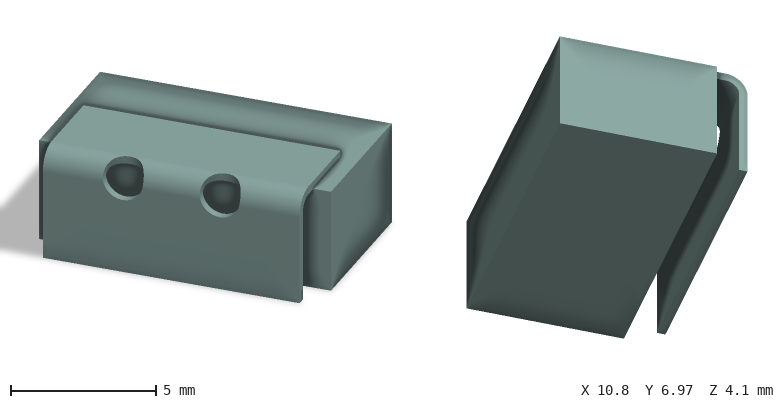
import cadquery as cq
import math

block_width = 10.8
block_depth = 5.67
block_height = 3.8

total_depth = 6.97
bracket_width = 9.5
sheet = 0.3
inner_bend_radius = 0.5
bracket_back = 3.18
outer_bend_radius = inner_bend_radius + sheet
neutral_bend_radius = inner_bend_radius + sheet / 2
bracket_top = block_height + sheet

bend_y = -total_depth + outer_bend_radius
bend_z = bracket_top - outer_bend_radius

hole_radius = 1.49 / 2
hole_spacing = 3.59
hole_above_bend_line = 0.2

hole_inner_reach = inner_bend_radius / 2
hole_outer_reach = outer_bend_radius * 2
hole_curve_points = 48


def make_block():
    return cq.Workplane("XY", origin=(0, -block_depth, 0)).box(
        block_width, block_depth, block_height, centered=(True, False, False)
    )


def make_bracket():
    diagonal = math.sqrt(0.5)
    return (
        cq.Workplane("YZ", origin=(-bracket_width / 2, 0, 0))
        .moveTo(-bracket_back, bracket_top)
        .lineTo(bend_y, bracket_top)
        .threePointArc(
            (bend_y - outer_bend_radius * diagonal, bend_z + outer_bend_radius * diagonal),
            (-total_depth, bend_z),
        )
        .lineTo(-total_depth, 0)
        .lineTo(-total_depth + sheet, 0)
        .lineTo(-total_depth + sheet, bend_z)
        .threePointArc(
            (bend_y - inner_bend_radius * diagonal, bend_z + inner_bend_radius * diagonal),
            (bend_y, block_height),
        )
        .lineTo(-bracket_back, block_height)
        .close()
        .extrude(bracket_width)
    )


def folded_circle(center_x, reach):
    """Hole outline carried round the bend, at the distance `reach` from the bend axis."""

    def point(turn):
        x = center_x + hole_radius * math.cos(2 * math.pi * turn)
        along_sheet = hole_above_bend_line + hole_radius * math.sin(2 * math.pi * turn)
        if along_sheet < 0:
            return (x, bend_y - reach, bend_z + along_sheet)
        angle = along_sheet / neutral_bend_radius
        return (x, bend_y - reach * math.cos(angle), bend_z + reach * math.sin(angle))

    points = [cq.Vector(*point(i / hole_curve_points)) for i in range(hole_curve_points)]
    turns = [i / hole_curve_points for i in range(hole_curve_points + 1)]
    return cq.Edge.makeSpline(points, periodic=True, parameters=turns)


def make_hole(center_x):
    """Cutter whose wall stays square to the sheet, both below and inside the bend."""
    inner = folded_circle(center_x, hole_inner_reach)
    outer = folded_circle(center_x, hole_outer_reach)
    faces = [
        cq.Face.makeRuledSurface(inner, outer),
        cq.Face.makeNSidedSurface([inner], []),
        cq.Face.makeNSidedSurface([outer], []),
    ]
    return cq.Workplane(obj=cq.Solid.makeSolid(cq.Shell.makeShell(faces)))


bracket = make_bracket()
for side in (-1, 1):
    bracket = bracket.cut(make_hole(side * hole_spacing / 2))

result = make_block().union(bracket)